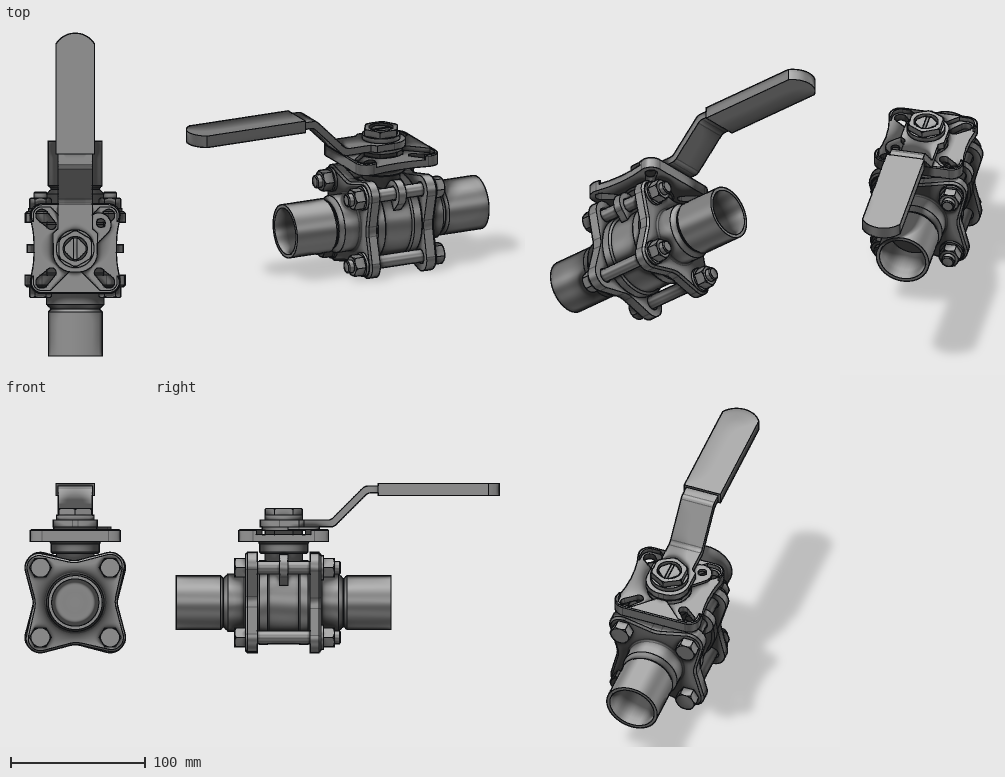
import cadquery as cq
import math

pipe_end_y = 79.6
pipe_diameter = 40.0
pipe_bore_diameter = 35.0
pipe_shoulder_y = 46.8

front_flange_y = 28.4
front_hub_y = (29.7, 41.2)
rear_flange_y = 27.6
rear_hub_y = (28.9, 40.5)
hub_diameter = 42.7
weld_groove_diameter = 36.0

body_diameter = 58.7
body_ring_diameter = 62.5
body_ring_taper = 1.2
body_ring_y = (10.8, 18.0)

flange_width = 74.58
flange_twist = 1.0
flange_corner_radius = 10.5
flange_neck_half_width = 31.2
flange_neck_radius = 16.0
flange_inner_y = 19.5
flange_chamfer = 1.6

bolt_offset = 25.8
bolt_diameter = 9.53
bolt_hole_offset = 26.2
bolt_hole_diameter = 11.0
bolt_tip_y = 42.0
bolt_tip_chamfer = 0.8
bolt_hex_flats = 14.0
bolt_hex_height = 7.9
bolt_hex_chamfer = 1.0
washer_diameter = 18.0
washer_thickness = 2.0

lug_thickness = 6.0
lug_radius = 9.8
lug_hole_diameter = 10.7

neck_diameter = 28.0
collar_diameter = 35.7
collar_bottom_z = 36.3
collar_chamfer = 1.1
collar_flare = 0.9
collar_flare_height = 1.8

pad_bottom_z = 45.1
pad_thickness = 8.9
pad_recess_depth = 3.6
pad_outer_bolt_circle = 70.0
pad_inner_bolt_circle = 50.0
pad_corner_radius = 8.6
pad_outer_hole_diameter = 9.0
pad_inner_hole_diameter = 7.0
pad_rim_inner_radius = 6.3
pad_rim_end_y = 20.2
pad_arm_half_width = 8.9
pad_side_half_width = 30.4
pad_edge_chamfer = 0.8
nut_well_diameter = 32.8
nut_well_depth = 1.0

stem_diameter = 18.0
stem_hole_diameter = 18.1
stem_bottom_z = 31.6
stem_square = 14.0
stem_corner_diameter = 16.0
stem_recess = 1.2
stem_slot_width = 2.3
stem_slot_depth = 0.8

stem_nut_flats = 23.9
stem_nut_height = 5.1
stem_nut_chamfer = 0.8
spacer_diameter = 28.0
spacer_height = 3.5

stop_thickness = 2.0
stop_disc_diameter = 32.0
stop_disc_drop = 0.5
stop_tongue_radius = 8.9
stop_tongue_offset = 17.6
stop_hole_offset = 19.0
stop_hole_diameter = 6.5

lever_thickness = 5.2
lever_width = 25.2
lever_rise = 25.2
lever_bend_y = (35.0, 60.2)
lever_bend_radius = 5.5
head_width = 32.8
head_end_y = 17.4
head_corner_radius = 14.4
head_shoulder_y = (11.4, 14.9)

grip_start_y = 70.0
grip_end_y = 159.7
grip_width = 28.6
grip_wall = 1.9
grip_end_rise = 8.0

pad_top_z = pad_bottom_z + pad_thickness
pad_centre = pad_outer_bolt_circle / 2 / math.sqrt(2)
pad_floor_z = pad_top_z - pad_recess_depth
nut_well_z = pad_floor_z - nut_well_depth
lever_bottom_z = pad_top_z + stop_thickness
lever_top_z = lever_bottom_z + lever_thickness
spacer_top_z = lever_top_z + spacer_height
lever_end_y = grip_end_y - grip_end_rise
nut_top_z = spacer_top_z + stem_nut_height
corner_signs = [(-1, -1), (-1, 1), (1, -1), (1, 1)]


def cylinder_z(diameter, bottom, top):
    """Upright cylinder on the stem axis."""
    return cq.Workplane("XY").workplane(offset=bottom).circle(diameter / 2).extrude(top - bottom)


def cylinder_y(diameter, start, end, x=0.0, z=0.0):
    """Cylinder along Y through the point (x, z)."""
    plane = cq.Plane(origin=(x, start, z), xDir=(1, 0, 0), normal=(0, 1, 0))
    return cq.Workplane(plane).circle(diameter / 2).extrude(end - start)


def hexagon_y(flats, start, end, x, z):
    """Hexagonal prism along Y with flats facing up and down."""
    plane = cq.Plane(origin=(x, start, z), xDir=(1, 0, 0), normal=(0, 1, 0))
    return (
        cq.Workplane(plane)
        .transformed(rotate=(0, 0, 30))
        .polygon(6, flats, circumscribed=True)
        .extrude(end - start)
    )


def hexagon_z(flats, bottom, top):
    """Upright hexagonal prism with flats facing the X sides."""
    return (
        cq.Workplane("XY")
        .workplane(offset=bottom)
        .polygon(6, flats, circumscribed=True)
        .extrude(top - bottom)
    )


def make_body():
    """Round middle section with a raised ring at each end."""
    body = cylinder_y(body_diameter, -flange_inner_y, flange_inner_y)
    inner, outer = body_ring_y
    low = body_diameter / 2
    high = body_ring_diameter / 2
    for side in (-1, 1):
        section = cq.Workplane("XY").polyline(
            [
                (0, side * inner),
                (low, side * inner),
                (high, side * (inner + body_ring_taper)),
                (high, side * outer),
                (0, side * outer),
            ]
        )
        body = body.union(section.close().revolve(360, (0, 0), (0, 1)))
    return body


def make_lug(side):
    """Radial ear on the body that holds an upper bolt."""
    reach = math.hypot(bolt_offset, bolt_offset)
    ear = (
        cq.Workplane("XZ")
        .circle(lug_radius)
        .extrude(lug_thickness / 2, both=True)
        .translate((reach, 0, 0))
    )
    arm = cq.Workplane("XY").box(reach, lug_thickness, 2 * lug_radius).translate((reach / 2, 0, 0))
    angle = -45 if side > 0 else -135
    lug = ear.union(arm).rotate((0, 0, 0), (0, 1, 0), angle)
    hole = cylinder_y(lug_hole_diameter, -lug_thickness, lug_thickness, side * bolt_offset, bolt_offset)
    return lug.cut(hole)


def quarter_turned(x, z, quarters):
    """The point (x, z) turned about the pipe axis by a number of quarter turns."""
    for _ in range(quarters):
        x, z = -z, x
    return (x, z)


def flange_outline():
    """Four-cornered star outline: corner arcs, tangent flanks and small neck arcs."""
    twist = math.radians(flange_twist)
    corner = (flange_width / 2 - flange_corner_radius) / (math.cos(twist) + math.sin(twist))
    neck_centre = flange_neck_half_width + flange_neck_radius
    span = math.hypot(corner, neck_centre - corner)
    flank = math.asin((flange_corner_radius + flange_neck_radius) / span)
    flank -= math.atan2(neck_centre - corner, corner)
    tip = corner + flange_corner_radius / math.sqrt(2)
    far = corner + flange_corner_radius * math.cos(flank)
    near = corner - flange_corner_radius * math.sin(flank)
    neck = neck_centre - flange_neck_radius * math.cos(flank)
    neck_half = flange_neck_radius * math.sin(flank)
    outline = cq.Workplane("XZ").moveTo(neck, -neck_half)
    for quarter in range(4):
        outline = outline.threePointArc(
            quarter_turned(flange_neck_half_width, 0, quarter), quarter_turned(neck, neck_half, quarter)
        )
        outline = outline.lineTo(*quarter_turned(far, near, quarter))
        outline = outline.threePointArc(
            quarter_turned(tip, tip, quarter), quarter_turned(near, far, quarter)
        )
        if quarter < 3:
            outline = outline.lineTo(*quarter_turned(neck_half, neck, quarter))
    return outline.close()


def make_end_cap(flange_outer_y, hub_y):
    """End cap built toward -Y: star flange, hub, weld groove and pipe stub with a blind bore."""
    flange = flange_outline().extrude(flange_outer_y - flange_inner_y).translate((0, -flange_inner_y, 0))
    flange = flange.faces("<Y").edges().chamfer(flange_chamfer)
    flange = flange.rotate((0, 0, 0), (0, 1, 0), -flange_twist)
    hub_fillet_y, hub_end_y = hub_y
    hub_radius = hub_diameter / 2
    groove_radius = weld_groove_diameter / 2
    pipe_radius = pipe_diameter / 2
    root = hub_fillet_y - flange_outer_y
    groove_start = hub_end_y + hub_radius - groove_radius
    groove_end = pipe_shoulder_y - (pipe_radius - groove_radius)
    profile = (
        cq.Workplane("XY")
        .moveTo(0, -flange_inner_y)
        .lineTo(hub_radius + root, -flange_inner_y)
        .lineTo(hub_radius + root, -flange_outer_y)
        .radiusArc((hub_radius, -hub_fillet_y), -root)
        .lineTo(hub_radius, -hub_end_y)
        .lineTo(groove_radius, -groove_start)
        .lineTo(groove_radius, -groove_end)
        .lineTo(pipe_radius, -pipe_shoulder_y)
        .lineTo(pipe_radius, -pipe_end_y)
        .lineTo(0, -pipe_end_y)
        .close()
    )
    cap = flange.union(profile.revolve(360, (0, 0), (0, 1)))
    cap = cap.cut(cylinder_y(pipe_bore_diameter, -pipe_end_y, -pipe_shoulder_y))
    for sx, sz in corner_signs:
        x = sx * bolt_hole_offset
        z = sz * bolt_hole_offset
        cap = cap.cut(cylinder_y(bolt_hole_diameter, -flange_outer_y, -flange_inner_y, x, z))
    return cap


def pad_outline():
    """Square outline with round corners, straight Y sides and hollow X sides."""
    radius = pad_corner_radius
    edge = pad_centre + radius
    dip = pad_side_half_width - pad_centre
    side_radius = (pad_centre**2 + dip**2 - radius**2) / (2 * (radius - dip))
    lean = math.asin(pad_centre / (side_radius + radius))
    side_x = pad_centre + radius * math.cos(lean)
    side_y = pad_centre - radius * math.sin(lean)
    tip = pad_centre + radius / math.sqrt(2)
    return (
        cq.Workplane("XY")
        .moveTo(side_x, -side_y)
        .threePointArc((pad_side_half_width, 0), (side_x, side_y))
        .threePointArc((tip, tip), (pad_centre, edge))
        .lineTo(-pad_centre, edge)
        .threePointArc((-tip, tip), (-side_x, side_y))
        .threePointArc((-pad_side_half_width, 0), (-side_x, -side_y))
        .threePointArc((-tip, -tip), (-pad_centre, -edge))
        .lineTo(pad_centre, -edge)
        .threePointArc((tip, -tip), (side_x, -side_y))
        .close()
    )


def make_tapered_slot():
    """Slot along +X that joins the holes of the two bolt circles."""
    inner_x = pad_inner_bolt_circle / 2
    outer_x = pad_outer_bolt_circle / 2
    inner_r = pad_inner_hole_diameter / 2
    outer_r = pad_outer_hole_diameter / 2
    lean = math.asin((outer_r - inner_r) / (outer_x - inner_x))
    c = math.cos(lean)
    s = math.sin(lean)
    return (
        cq.Workplane("XY")
        .moveTo(inner_x - inner_r * s, inner_r * c)
        .threePointArc((inner_x - inner_r, 0), (inner_x - inner_r * s, -inner_r * c))
        .lineTo(outer_x - outer_r * s, -outer_r * c)
        .threePointArc((outer_x + outer_r, 0), (outer_x - outer_r * s, outer_r * c))
        .close()
        .extrude(pad_thickness)
    )


def make_pad_recess():
    """Recess that leaves a rim round each corner and a raised wedge on each Y side."""
    half = pad_centre + pad_rim_inner_radius
    far = 2 * half
    inside = (
        cq.Workplane("XY")
        .rect(2 * half, 2 * half)
        .extrude(pad_recess_depth)
        .edges("|Z")
        .fillet(pad_rim_inner_radius)
    )
    open_sides = cq.Workplane("XY").rect(2 * far, 2 * pad_rim_end_y).extrude(pad_recess_depth)
    recess = inside.union(open_sides)
    apex = pad_arm_half_width * math.sqrt(2)
    for side in (-1, 1):
        wedge = (
            cq.Workplane("XY")
            .polyline([(0, side * apex), (far, side * (apex + far)), (-far, side * (apex + far))])
            .close()
            .extrude(pad_recess_depth)
        )
        recess = recess.cut(wedge)
    return recess


def make_pad():
    """Actuator mounting pad with its slots, recess and round well for the packing nut."""
    pad = pad_outline().extrude(pad_thickness)
    pad = pad.faces(">Z").edges("<Y or >Y").chamfer(pad_edge_chamfer)
    pad = pad.cut(make_pad_recess().translate((0, 0, pad_thickness - pad_recess_depth)))
    slot = make_tapered_slot()
    for angle in (45, 135, 225, 315):
        pad = pad.cut(slot.rotate((0, 0, 0), (0, 0, 1), angle))
    pad = pad.translate((0, 0, pad_bottom_z))
    return pad.cut(cylinder_z(nut_well_diameter, nut_well_z, pad_top_z))


def make_collar():
    """Neck, collar and flare that carry the pad on the body."""
    neck = cylinder_z(neck_diameter, 0, collar_bottom_z)
    collar = cylinder_z(collar_diameter, collar_bottom_z, pad_bottom_z).faces("<Z").chamfer(collar_chamfer)
    flare_start = pad_bottom_z - collar_flare_height
    flare = (
        cq.Workplane("XY")
        .workplane(offset=flare_start)
        .circle(collar_diameter / 2)
        .workplane(offset=collar_flare_height)
        .circle(collar_diameter / 2 + collar_flare)
        .loft()
    )
    return neck.union(collar).union(flare)


def make_housing():
    """Body, both end caps, bolt lugs and the stem neck with its pad."""
    front_cap = make_end_cap(front_flange_y, front_hub_y)
    rear_cap = make_end_cap(rear_flange_y, rear_hub_y).rotate((0, 0, 0), (0, 0, 1), 180)
    housing = make_body().union(make_collar()).union(make_pad())
    for side in (-1, 1):
        housing = housing.union(make_lug(side))
    housing = housing.union(front_cap).union(rear_cap)
    return housing.cut(cylinder_z(stem_hole_diameter, stem_bottom_z, nut_well_z))


def make_bolt(x, z):
    """Hexagon bolt together with its washer and nut."""
    head_end = -front_flange_y - bolt_hex_height
    washer_end = rear_flange_y + washer_thickness
    nut_end = washer_end + bolt_hex_height
    shank = cylinder_y(bolt_diameter, head_end, bolt_tip_y, x, z).faces(">Y").chamfer(bolt_tip_chamfer)
    corner_diameter = bolt_hex_flats / math.cos(math.pi / 6)
    head_trim = cylinder_y(corner_diameter, head_end, -front_flange_y, x, z)
    head_trim = head_trim.faces("<Y").chamfer(bolt_hex_chamfer)
    nut_trim = cylinder_y(corner_diameter, washer_end, nut_end, x, z)
    nut_trim = nut_trim.faces(">Y").chamfer(bolt_hex_chamfer)
    head = hexagon_y(bolt_hex_flats, head_end, -front_flange_y, x, z).intersect(head_trim)
    nut = hexagon_y(bolt_hex_flats, washer_end, nut_end, x, z).intersect(nut_trim)
    washer = cylinder_y(washer_diameter, rear_flange_y, washer_end, x, z)
    return shank.union(head).union(washer).union(nut)


def make_stop_plate():
    """Disc under the lever with a tongue over the +X +Y slot."""
    tongue_x = math.hypot(stop_tongue_offset, stop_tongue_offset)
    hole_x = math.hypot(stop_hole_offset, stop_hole_offset)
    tip = cq.Workplane("XY").center(tongue_x, 0).circle(stop_tongue_radius).extrude(stop_thickness)
    tongue = (
        cq.Workplane("XY")
        .center(tongue_x / 2, 0)
        .rect(tongue_x, 2 * stop_tongue_radius)
        .extrude(stop_thickness)
        .union(tip)
    )
    hole = cq.Workplane("XY").center(hole_x, 0).circle(stop_hole_diameter / 2).extrude(stop_thickness)
    tongue = tongue.cut(hole).rotate((0, 0, 0), (0, 0, 1), 45).translate((0, 0, pad_top_z))
    disc = cylinder_z(stop_disc_diameter, pad_top_z - stop_disc_drop, lever_bottom_z)
    return disc.union(tongue)


def make_lever_strip():
    """Side profile of the cranked lever, as wide as the head."""
    low_y, high_y = lever_bend_y
    shift = lever_thickness * math.tan(math.pi / 8)
    high_top = lever_top_z + lever_rise
    high_bottom = high_top - lever_thickness
    return (
        cq.Workplane("YZ")
        .moveTo(-head_end_y, lever_bottom_z)
        .lineTo(low_y + shift, lever_bottom_z)
        .lineTo(high_y + shift, high_bottom)
        .lineTo(lever_end_y, high_bottom)
        .lineTo(lever_end_y, high_top)
        .lineTo(high_y, high_top)
        .lineTo(low_y, lever_top_z)
        .lineTo(-head_end_y, lever_top_z)
        .close()
        .extrude(head_width / 2, both=True)
        .edges("|X and (not <Y) and (not >Y)")
        .fillet(lever_bend_radius)
    )


def make_lever_plan():
    """Plan outline of the lever: broad round head that steps in to the narrow arm."""
    shoulder_start, shoulder_end = head_shoulder_y
    height = lever_rise + lever_thickness
    head = (
        cq.Workplane("XY")
        .moveTo(-head_width / 2, shoulder_start)
        .lineTo(-head_width / 2, -head_end_y)
        .lineTo(head_width / 2, -head_end_y)
        .lineTo(head_width / 2, shoulder_start)
        .lineTo(lever_width / 2, shoulder_end)
        .lineTo(-lever_width / 2, shoulder_end)
        .close()
        .extrude(height)
        .edges("|Z and <Y")
        .fillet(head_corner_radius)
    )
    arm_length = lever_end_y - shoulder_end
    arm = (
        cq.Workplane("XY")
        .center(0, shoulder_end + arm_length / 2)
        .rect(lever_width, arm_length)
        .extrude(height)
    )
    return head.union(arm).translate((0, 0, lever_bottom_z))


def make_grip():
    """Sleeve with a rounded closed end."""
    bottom = lever_bottom_z + lever_rise - grip_wall
    return (
        cq.Workplane("XY")
        .workplane(offset=bottom)
        .moveTo(-grip_width / 2, grip_start_y)
        .lineTo(-grip_width / 2, lever_end_y)
        .threePointArc((0, grip_end_y), (grip_width / 2, lever_end_y))
        .lineTo(grip_width / 2, grip_start_y)
        .close()
        .extrude(lever_thickness + 2 * grip_wall)
    )


def make_stem():
    """Round stem with a truncated square top, turned 45 degrees and slotted."""
    stem_top = nut_top_z - stem_recess
    shaft = cylinder_z(stem_diameter, stem_bottom_z, spacer_top_z)
    square = (
        cq.Workplane("XY")
        .workplane(offset=lever_top_z)
        .transformed(rotate=(0, 0, 45))
        .rect(stem_square, stem_square)
        .extrude(stem_top - lever_top_z)
    )
    top = square.intersect(cylinder_z(stem_corner_diameter, lever_top_z, stem_top))
    slot = (
        cq.Workplane("XY")
        .workplane(offset=stem_top - stem_slot_depth)
        .rect(stem_slot_width, stem_diameter)
        .extrude(stem_slot_depth)
    )
    return shaft.union(top.cut(slot))


def make_stem_nuts():
    """Packing nut in the well, and the spacer and open nut above the lever."""
    packing_nut = hexagon_z(stem_nut_flats, nut_well_z, lever_bottom_z)
    spacer = cylinder_z(spacer_diameter, lever_top_z, spacer_top_z)
    nut_trim = cylinder_z(stem_nut_flats / math.cos(math.pi / 6), spacer_top_z, nut_top_z)
    nut = hexagon_z(stem_nut_flats, spacer_top_z, nut_top_z)
    nut = nut.intersect(nut_trim.faces(">Z").chamfer(stem_nut_chamfer))
    nut = nut.cut(cylinder_z(stem_diameter, spacer_top_z, nut_top_z))
    return packing_nut.union(spacer).union(nut)


def make_handle():
    """Everything that turns with the stem, as one solid."""
    lever = make_lever_strip().intersect(make_lever_plan())
    handle = lever.union(make_grip()).union(make_stop_plate())
    return handle.union(make_stem_nuts()).union(make_stem())


housing = make_housing()
handle = make_handle()
bolts = [make_bolt(sx * bolt_offset, sz * bolt_offset) for sx, sz in corner_signs]

result = cq.Compound.makeCompound([housing.val(), handle.val(), *[bolt.val() for bolt in bolts]])